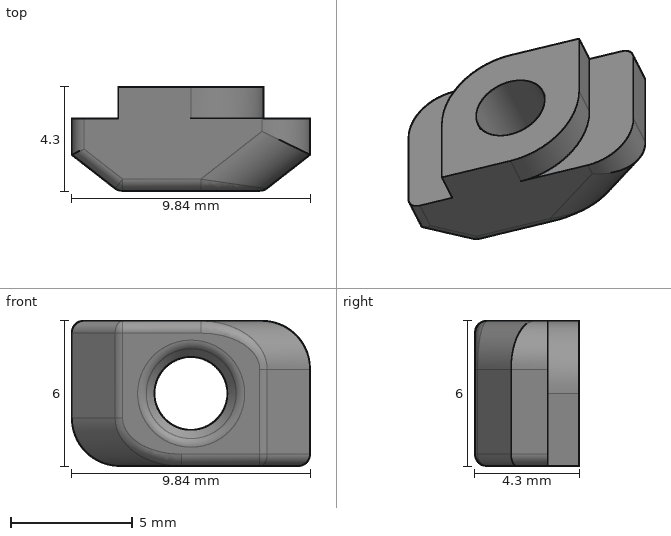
import cadquery as cq
import math

length = 9.84
height = 6.0
depth = 4.3
neck_depth = 1.3
bevel_depth = 1.5
hole_diameter = 3.0
large_radius = 2.0
small_radius = 0.5
countersink = 0.5

half_length = length / 2
half_height = height / 2
back_y = depth / 2
front_y = -depth / 2
shoulder_y = back_y - neck_depth
bevel_y = front_y + bevel_depth
face_half_length = height / 2
margin = 0.01


def corner_edges(body, x_side, z_side):
    """Straight and sloped corner edges of one wing, picked by their centres."""
    edge_z = z_side * half_height
    near = (x_side * (face_half_length + margin), front_y, edge_z - margin)
    far = (x_side * (half_length + margin), shoulder_y - margin, edge_z + margin)
    return body.edges(cq.selectors.BoxSelector(near, far))


def make_head():
    """Trapezoidal head with diagonally paired corner radii."""
    outline = [
        (-half_length, shoulder_y),
        (half_length, shoulder_y),
        (half_length, bevel_y),
        (face_half_length, front_y),
        (-face_half_length, front_y),
        (-half_length, bevel_y),
    ]
    head = cq.Workplane("XY").polyline(outline).close().extrude(half_height, both=True)
    for side in (1, -1):
        head = corner_edges(head, side, side).fillet(large_radius)
    small_edges = head.faces("<Y").edges()
    for side in (1, -1):
        small_edges = small_edges.add(corner_edges(head, side, -side))
    return small_edges.fillet(small_radius)


def make_neck():
    """Square neck with two opposite corners rounded into quarter circles."""
    quarter = half_height * 0.5 ** 0.5
    return (
        cq.Workplane("XZ", origin=(0, back_y, 0))
        .moveTo(-half_height, half_height)
        .lineTo(0, half_height)
        .threePointArc((quarter, quarter), (half_height, 0))
        .lineTo(half_height, -half_height)
        .lineTo(0, -half_height)
        .threePointArc((-quarter, -quarter), (-half_height, 0))
        .close()
        .extrude(neck_depth)
    )


def make_hole():
    """Through hole whose countersink blends into the front face."""
    radius = hole_diameter / 2
    rim_radius = radius + countersink
    tangent = small_radius * (2 ** 0.5 - 1)
    cone_tangent = tangent * 0.5 ** 0.5
    face_radius = rim_radius + tangent
    half_turn = math.radians(22.5)
    mid_radius = face_radius - small_radius * math.sin(half_turn)
    mid_y = front_y + small_radius * (1 - math.cos(half_turn))
    return (
        cq.Workplane("XY")
        .moveTo(0, front_y)
        .lineTo(face_radius, front_y)
        .threePointArc(
            (mid_radius, mid_y),
            (rim_radius - cone_tangent, front_y + cone_tangent),
        )
        .lineTo(radius, front_y + countersink)
        .lineTo(radius, back_y)
        .lineTo(0, back_y)
        .close()
        .revolve(360, (0, 0, 0), (0, 1, 0))
    )


result = make_head().union(make_neck()).cut(make_hole())